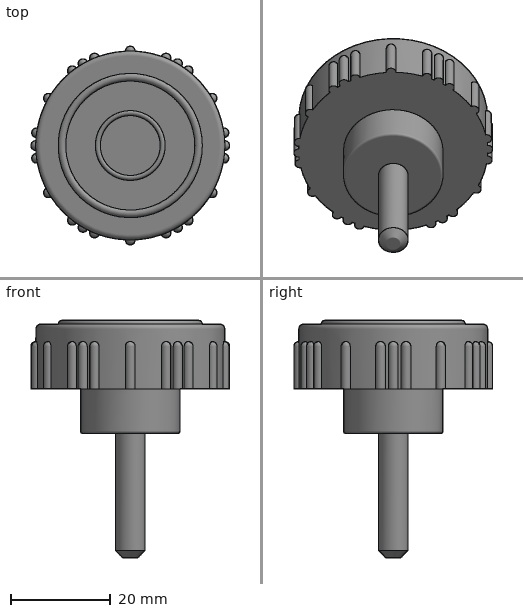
import cadquery as cq

total_height = 47.75
ring_radius = 0.75
head_top = total_height - ring_radius
rib_shoulder = 42.5
head_bottom = 33.95
hub_bottom = 24.95

head_diameter = 38.0
head_fillet = 1.0
hub_diameter = 20.0
hub_fillet = 0.5
stud_diameter = 5.95
root_fillet = 0.2
tip_chamfer = 1.5

large_ring_diameter = 27.45
small_ring_diameter = 13.05
small_ring_radius = 0.5

overall_diameter = 39.95
rib_radius = (overall_diameter - head_diameter) / 2
group_count = 6
group_pitch = 360 / group_count
triple_spacing = 7.75
rib_offsets = (-triple_spacing, 0, triple_spacing, group_pitch / 2)


def cylinder(diameter, bottom, top):
    """Upright cylinder on the knob axis."""
    return cq.Workplane("XY").workplane(offset=bottom).circle(diameter / 2).extrude(top - bottom)


def raised_ring(diameter, section_radius):
    """Torus whose upper half stands proud of the head."""
    return (
        cq.Workplane("XZ")
        .center(diameter / 2, head_top)
        .circle(section_radius)
        .revolve(360, (-diameter / 2, 0), (-diameter / 2, 1))
    )


def grip_rib(angle):
    """Round rib centred on the rim, with a domed upper end."""
    dome_center = (head_diameter / 2, 0, rib_shoulder)
    shaft = cylinder(2 * rib_radius, head_bottom, rib_shoulder).translate((head_diameter / 2, 0, 0))
    dome = cq.Workplane("XY").sphere(rib_radius).translate(dome_center)
    return shaft.union(dome).rotate((0, 0, 0), (0, 0, 1), angle)


head = cylinder(head_diameter, head_bottom, head_top).faces(">Z").edges().fillet(head_fillet)
hub = cylinder(hub_diameter, hub_bottom, head_bottom).faces("<Z").edges().fillet(hub_fillet)
stud = cylinder(stud_diameter, 0, hub_bottom).faces("<Z").edges().chamfer(tip_chamfer)

shank = hub.union(stud)
shank = shank.edges(cq.selectors.RadiusNthSelector(1)).edges(">Z").fillet(root_fillet)

result = head.union(shank)
result = result.union(raised_ring(large_ring_diameter, ring_radius))
result = result.union(raised_ring(small_ring_diameter, small_ring_radius))

for group in range(group_count):
    for offset in rib_offsets:
        result = result.union(grip_rib(group * group_pitch + offset))